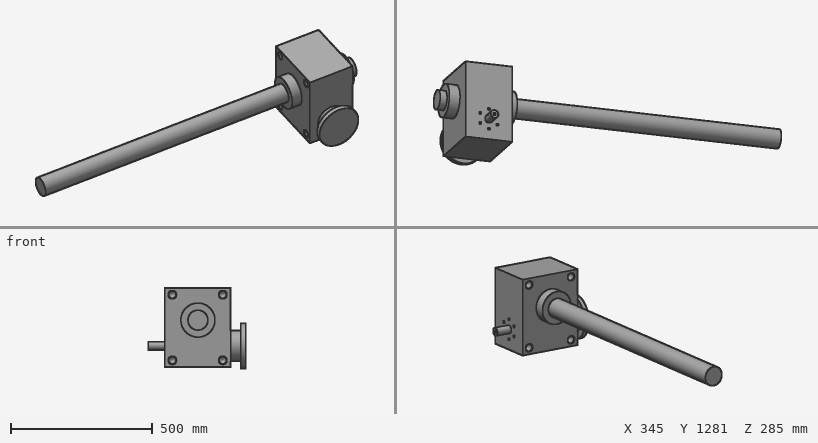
import cadquery as cq
import math

HOUSING_X = 233.0
HOUSING_Y = 175.0
HOUSING_Z = 280.0

SCREW_DIAMETER = 70.0
SCREW_LENGTH = 1281.0
SCREW_REAR_STICKOUT = 25.0
SCREW_FROM_TOP = 114.0
SCREW_X = 1.0

BOSS_DIAMETER = 120.0
BOSS_LENGTH = 40.0

MOUNT_HOLE_DIAMETER = 25.0
MOUNT_MOUTH_DIAMETER = 30.0
MOUNT_HOLE_DEPTH = 38.0
MOUNT_SPACING_X = 178.0
MOUNT_SPACING_Z = 232.0
MOUNT_FROM_TOP = 24.0
DRILL_TIP_ANGLE = 118.0

SHAFT_DIAMETER = 30.0
SHAFT_STICKOUT = 58.0
SHAFT_BELOW_SCREW = 91.0
CENTRE_HOLE_DIAMETER = 9.0
CENTRE_HOLE_DEPTH = 19.0

COVER_HOLE_COUNT = 6
COVER_HOLE_DIAMETER = 6.7
COVER_MOUTH_DIAMETER = 8.3
COVER_HOLE_DEPTH = 13.0
COVER_CIRCLE_DIAMETER = 74.0

HUB_DIAMETER = 110.0
HUB_LENGTH = 36.0
FLANGE_DIAMETER = 160.0
FLANGE_THICKNESS = 18.0

HOUSING_TOP = SCREW_FROM_TOP
HOUSING_BOTTOM = HOUSING_TOP - HOUSING_Z
LEFT_FACE = -HOUSING_X / 2
RIGHT_FACE = HOUSING_X / 2
FRONT_FACE = -HOUSING_Y / 2
BOSS_FRONT_END = FRONT_FACE - BOSS_LENGTH
BOSS_SPAN = HOUSING_Y + 2 * BOSS_LENGTH
SCREW_REAR_END = BOSS_FRONT_END + BOSS_SPAN + SCREW_REAR_STICKOUT
SHAFT_Z = -SHAFT_BELOW_SCREW
SHAFT_END = LEFT_FACE - SHAFT_STICKOUT


def rod_along_x(diameter, x_start, length):
    """Cylinder on the input shaft axis, from x_start towards +X."""
    return cq.Workplane("YZ", origin=(x_start, 0, SHAFT_Z)).circle(diameter / 2).extrude(length)


def rod_along_y(diameter, y_start, length):
    """Cylinder on the screw axis, from y_start towards +Y."""
    return cq.Workplane("XZ", origin=(SCREW_X, y_start, 0)).circle(diameter / 2).extrude(-length)


def blind_hole(diameter, mouth_diameter, depth):
    """Drilled hole cutter along +Y, mouth at the origin, with a 45 degree chamfer and a conical tip."""
    radius = diameter / 2
    mouth_radius = mouth_diameter / 2
    tip_length = radius / math.tan(math.radians(DRILL_TIP_ANGLE / 2))
    profile = cq.Workplane("XY").moveTo(0, 0).lineTo(mouth_radius, 0)
    if mouth_radius > radius:
        profile = profile.lineTo(radius, mouth_radius - radius)
    profile = profile.lineTo(radius, depth).lineTo(0, depth + tip_length).close()
    return profile.revolve(360, (0, 0), (0, 1))


def blind_hole_along_x(diameter, mouth_diameter, depth):
    """The same cutter turned to run along +X."""
    return blind_hole(diameter, mouth_diameter, depth).rotate((0, 0, 0), (0, 0, 1), -90)


def cut_mount_holes(housing):
    upper_z = HOUSING_TOP - MOUNT_FROM_TOP
    cutter = blind_hole(MOUNT_HOLE_DIAMETER, MOUNT_MOUTH_DIAMETER, MOUNT_HOLE_DEPTH)
    for x in (-MOUNT_SPACING_X / 2, MOUNT_SPACING_X / 2):
        for z in (upper_z, upper_z - MOUNT_SPACING_Z):
            housing = housing.cut(cutter.translate((x, FRONT_FACE, z)))
    return housing


def cut_cover_holes(housing):
    circle_radius = COVER_CIRCLE_DIAMETER / 2
    cutter = blind_hole_along_x(COVER_HOLE_DIAMETER, COVER_MOUTH_DIAMETER, COVER_HOLE_DEPTH)
    for index in range(COVER_HOLE_COUNT):
        angle = 2 * math.pi * index / COVER_HOLE_COUNT
        y = circle_radius * math.sin(angle)
        z = SHAFT_Z + circle_radius * math.cos(angle)
        housing = housing.cut(cutter.translate((LEFT_FACE, y, z)))
    return housing


def make_housing():
    """Block with both bosses, bored through for the screw."""
    block_centre_z = (HOUSING_TOP + HOUSING_BOTTOM) / 2
    housing = cq.Workplane("XY").box(HOUSING_X, HOUSING_Y, HOUSING_Z).translate((0, 0, block_centre_z))
    housing = housing.union(rod_along_y(BOSS_DIAMETER, BOSS_FRONT_END, BOSS_SPAN))
    housing = housing.cut(rod_along_y(SCREW_DIAMETER, BOSS_FRONT_END, BOSS_SPAN))
    housing = cut_mount_holes(housing)
    return cut_cover_holes(housing)


def make_screw():
    return rod_along_y(SCREW_DIAMETER, SCREW_REAR_END - SCREW_LENGTH, SCREW_LENGTH)


def make_input_shaft():
    """Plain shaft resting on the left face, with a centre hole in its free end."""
    centre_hole = blind_hole_along_x(CENTRE_HOLE_DIAMETER, CENTRE_HOLE_DIAMETER, CENTRE_HOLE_DEPTH)
    shaft = rod_along_x(SHAFT_DIAMETER, SHAFT_END, SHAFT_STICKOUT)
    return shaft.cut(centre_hole.translate((SHAFT_END, 0, SHAFT_Z)))


def make_motor_flange():
    """Hub on the right face that carries a round plate."""
    hub = rod_along_x(HUB_DIAMETER, RIGHT_FACE, HUB_LENGTH)
    plate = rod_along_x(FLANGE_DIAMETER, RIGHT_FACE + HUB_LENGTH, FLANGE_THICKNESS)
    return hub.union(plate)


housing = make_housing()
screw = make_screw()
input_shaft = make_input_shaft()
motor_flange = make_motor_flange()

result = cq.Compound.makeCompound([
    housing.val(),
    screw.val(),
    input_shaft.val(),
    motor_flange.val(),
])